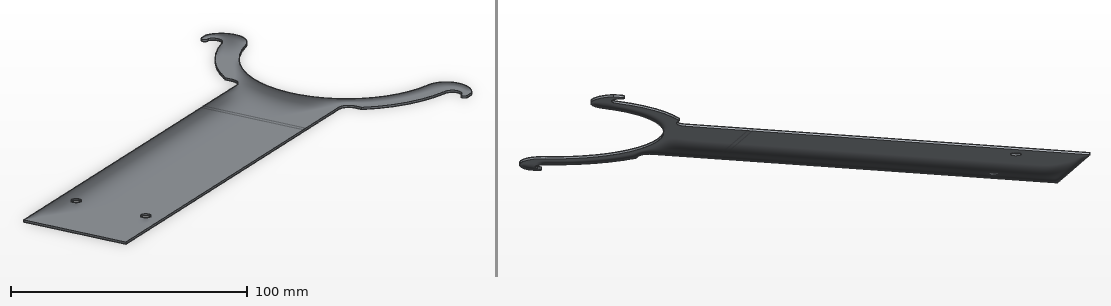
import cadquery as cq
import math

length = 227.3
thickness = 1.0
stem_width = 50.0

inner_radius = 45.5
arm_width = 10.2
outer_radius = inner_radius + arm_width
shoulder_y = 182.7
shoulder_fillet = 5.0

half_span = 65.0
hook_radius = 10.0
hook_pocket_radius = 4.0
pocket_center_y = 215.5
hook_back_y = 220.7
tip_radius = 1.48
tip_center_y = 217.0

hole_diameter = 4.5
hole_spacing = 34.0
hole_y = 30.2

bend_y = 149.3
bend_width = 2.0


def toward(center, target, distance):
    """Point at the given distance from center, in the direction of target."""
    dx = target[0] - center[0]
    dy = target[1] - center[1]
    scale = distance / math.hypot(dx, dy)
    return (center[0] + dx * scale, center[1] + dy * scale)


def arc_middle(center, start, end, radius):
    """Middle of the shorter arc from start to end around center."""
    chord_middle = ((start[0] + end[0]) / 2, (start[1] + end[1]) / 2)
    return toward(center, chord_middle, radius)


def make_half_plate():
    """Half of the plate on the +X side, from the centre line outward."""
    half_stem = stem_width / 2
    ring_center = (0, length)

    crown_center_y = length - hook_radius
    crown_center = (math.sqrt((inner_radius + hook_radius) ** 2 - hook_radius**2), crown_center_y)
    crown_start = toward(ring_center, crown_center, inner_radius)
    crown_top = (crown_center[0], length)
    crown_middle = arc_middle(crown_center, crown_start, crown_top, hook_radius)

    tip_inner_x = half_span - 2 * tip_radius
    pocket_reach = outer_radius + hook_pocket_radius
    pocket_center = (math.sqrt(pocket_reach**2 - (length - pocket_center_y) ** 2), pocket_center_y)
    pocket_end = toward(ring_center, pocket_center, outer_radius)
    pocket_top = (pocket_center[0], pocket_center_y + hook_pocket_radius)
    pocket_rise = math.sqrt(hook_pocket_radius**2 - (tip_inner_x - pocket_center[0]) ** 2)

    shoulder = (math.sqrt(outer_radius**2 - (length - shoulder_y) ** 2), shoulder_y)
    outer_middle = arc_middle(ring_center, pocket_end, shoulder, outer_radius)

    ring_bottom = (0, length - inner_radius)
    inner_middle = arc_middle(ring_center, ring_bottom, crown_start, inner_radius)

    return (
        cq.Workplane("XY")
        .moveTo(0, 0)
        .lineTo(*ring_bottom)
        .threePointArc(inner_middle, crown_start)
        .threePointArc(crown_middle, crown_top)
        .tangentArcPoint((half_span, hook_back_y), relative=False)
        .lineTo(half_span, tip_center_y)
        .threePointArc((half_span - tip_radius, tip_center_y - tip_radius), (tip_inner_x, tip_center_y))
        .lineTo(tip_inner_x, pocket_center_y + pocket_rise)
        .threePointArc(pocket_top, pocket_end)
        .threePointArc(outer_middle, shoulder)
        .lineTo(half_stem + shoulder_fillet, shoulder_y)
        .tangentArcPoint((half_stem, shoulder_y - shoulder_fillet), relative=False)
        .lineTo(half_stem, 0)
        .close()
        .extrude(thickness)
    )


def make_holes():
    """Cutters for the two screw holes through the stem."""
    centers = [(side * hole_spacing / 2, hole_y) for side in (-1, 1)]
    return cq.Workplane("XY").pushPoints(centers).circle(hole_diameter / 2).extrude(thickness)


def make_bend_zone():
    """Strip of the stem that forms the bend zone, at full plate thickness."""
    return cq.Workplane("XY").center(0, bend_y).rect(stem_width, bend_width).extrude(thickness)


half_plate = make_half_plate()
plate = half_plate.union(half_plate.mirror("YZ"))
plate = plate.cut(make_holes())

bend_zone = make_bend_zone()
result = plate.cut(bend_zone).union(bend_zone, clean=False)